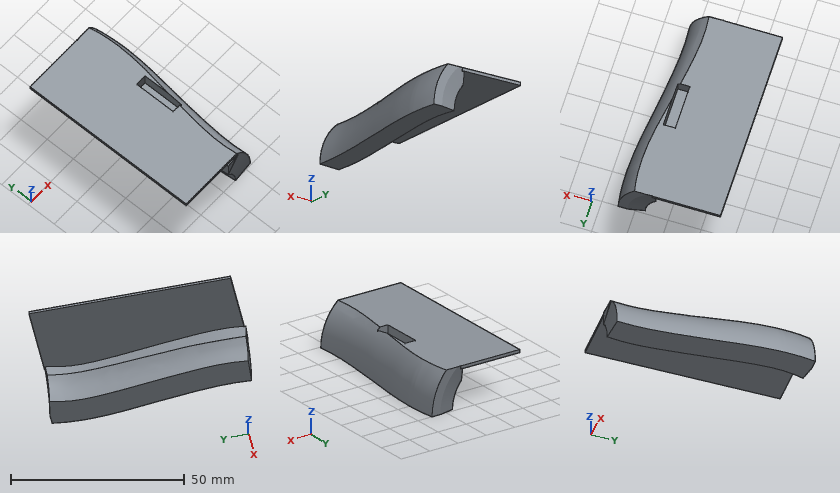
import cadquery as cq
import math

height = 13.52
length = 60.21
plate_thickness = 1.03
plate_front_y = 0.58
plate_depth = length - plate_front_y
underside_z = height - plate_thickness
plate_reach = 10.5

axis_x = 10.23
rail_angle = 65

outer_wave = [
    (plate_front_y, 18.07),
    (7.0, 17.82),
    (17.8, 18.45),
    (31.4, 19.97),
    (43.6, 21.30),
    (51.5, 21.54),
    (length, 20.77),
]

rail_width = 7.45
inner_front = (0.0, 10.86)
inner_back = (length - plate_thickness, 12.8)
end_lip = 0.5
back_lip = 3.0

inner_wave = [(y, radius - rail_width) for y, radius in outer_wave[1:-1]]
inner_stations = [inner_front] + inner_wave + [inner_back]

wall_angle = 45
wall_shift = inner_front[1] * (math.cos(math.radians(wall_angle)) - 1)

pocket_x = 20.80
pocket_y = 23.58
pocket_width = 3.65
pocket_length = 13.90
pocket_depth = 4.0


def plan_points(stations, x_shift):
    """Turn (y, radius) stations into XY points, with x measured from the shifted axis."""
    return [(x_shift + radius, y) for y, radius in stations]


def rail_plan(x_shift):
    """Closed plan outline of the rail, drawn at the given X shift."""
    outer = plan_points(outer_wave, x_shift)
    inner = plan_points(inner_stations, x_shift)
    front_x, front_y = outer[0]
    back_x, back_y = outer[-1]
    return (
        cq.Workplane("XY")
        .moveTo(*inner[0])
        .lineTo(front_x - end_lip, front_y)
        .lineTo(front_x, front_y)
        .spline(outer[1:], includeCurrent=True)
        .lineTo(back_x - back_lip, back_y)
        .lineTo(*inner[-1])
        .spline(inner[-2::-1], includeCurrent=True)
        .close()
    )


def make_plate():
    """Flat plate that runs into the top of the rail."""
    return (
        cq.Workplane("XY")
        .box(axis_x + plate_reach, plate_depth, plate_thickness, centered=False)
        .translate((0, plate_front_y, underside_z))
    )


def make_rail():
    """Curved rail, levelled with the plate and trimmed by the upright wall."""
    rail = rail_plan(axis_x).revolve(rail_angle, (axis_x, length, 0), (axis_x, 0, 0))
    max_x = axis_x + max(radius for _, radius in outer_wave)
    below_plate = cq.Workplane("XY").box(max_x, length, underside_z, centered=False)
    beside_plate = (
        cq.Workplane("XY")
        .box(max_x, plate_depth, height, centered=False)
        .translate((0, plate_front_y, 0))
    )
    return rail.intersect(below_plate.union(beside_plate)).cut(make_wall_clearance())


def make_wall_clearance():
    """Free space to the left of the upright wall, below the plate."""
    inner = plan_points(inner_stations, axis_x + wall_shift)
    return (
        cq.Workplane("XY")
        .moveTo(*inner[0])
        .spline(inner[1:], includeCurrent=True)
        .lineTo(inner[-1][0], length)
        .lineTo(0, length)
        .lineTo(0, 0)
        .close()
        .extrude(underside_z)
    )


def make_filler():
    """Upright wall that joins the sloping top of the rail to the plate."""
    wall = rail_plan(axis_x + wall_shift).extrude(underside_z)
    wedge = (
        cq.Workplane("XZ")
        .moveTo(axis_x, 0)
        .lineTo(axis_x + underside_z, underside_z)
        .lineTo(axis_x, underside_z)
        .close()
        .extrude(-length)
    )
    return wall.intersect(wedge)


def make_pocket():
    return (
        cq.Workplane("XY")
        .box(pocket_width, pocket_length, pocket_depth, centered=False)
        .translate((pocket_x, pocket_y, height - pocket_depth))
    )


result = make_plate().union(make_rail()).union(make_filler()).cut(make_pocket())